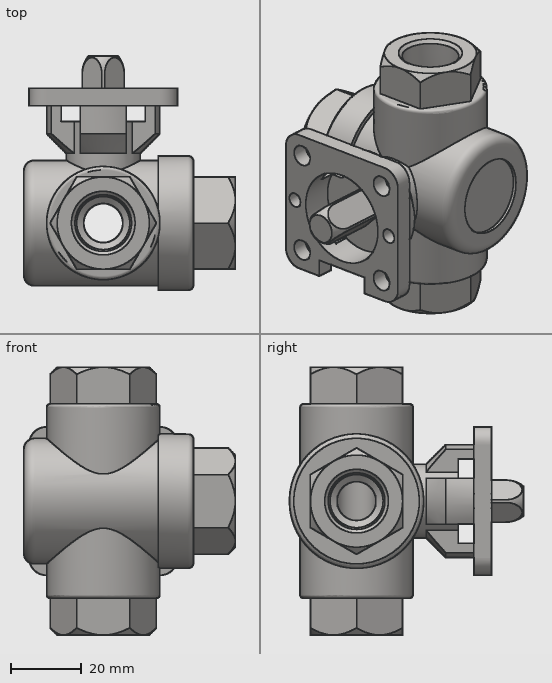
import cadquery as cq
import math


barrel_dia = 35.5
barrel_start = -22.5
barrel_round = 3.0
cap_dia = 38.0
cap_start = 15.5
cap_end = 25.5
cap_round = 1.5
recess_dia = 22.0
recess_depth = 1.0

collar_dia = 32.0
collar_end = 27.5
collar_round = 1.0
side_port_end = 37.85
main_port_end = 37.3
hex_flats = 26.05
hex_corners = hex_flats / math.cos(math.radians(30))
thread_mouth_dia = 18.0
thread_dia = 16.05
thread_end_dia = 15.0
thread_depth = 12.0
passage_dia = 11.0
drill_tip_angle = 118

neck_dia = 21.0
neck_end = 28.8
post_circle_dia = 32.0
post_width = 13.0
post_cone_start = 19.7
post_cone_end = post_cone_start + (post_circle_dia - neck_dia) / 2

flange_size = 42.0
flange_start = 33.15
flange_end = 38.15
flange_corner_radius = 5.0
flange_bore_dia = 27.0
bolt_hole_dia = 6.0
bolt_spacing = 29.75
pin_hole_dia = 4.2
pin_spacing = 35.1
notch_width = 16.8
notch_depth = 5.0

stem_dia = 11.95
stem_flats = 9.0
stem_end = 47.2
dome_height = 5.1
dome_tip_dia = 8.3


def along_x(shape):
    """Turn a shape built along +Z so that it runs along +X, keeping its Y direction."""
    return shape.rotate((0, 0, 0), (0, 1, 0), 90)


def along_y(shape):
    """Turn a shape built along +Z so that it runs along +Y, keeping its X direction."""
    return shape.rotate((0, 0, 0), (1, 0, 0), -90)


def cylinder(diameter, start, end):
    return cq.Workplane("XY").workplane(offset=start).circle(diameter / 2).extrude(end - start)


def turned(profile):
    """Revolve a (radius, height) outline about Z."""
    return cq.Workplane("XZ").polyline(profile).close().revolve(360, (0, 0, 0), (0, 1, 0))


def hex_end(end):
    """Hexagon with corners on X, its end chamfered at 45 degrees down to the flats."""
    prism = cq.Workplane("XY").polygon(6, hex_corners).extrude(end)
    corner_radius = hex_corners / 2
    face_radius = hex_flats / 2
    chamfer = corner_radius - face_radius
    envelope = turned(
        [(0, 0), (corner_radius, 0), (corner_radius, end - chamfer), (face_radius, end), (0, end)]
    )
    return prism.intersect(envelope)


def port_bore(end):
    """Chamfered taper thread hole, drill tip and passage down to the valve centre."""
    mouth = thread_mouth_dia / 2
    thread = thread_dia / 2
    bottom = thread_end_dia / 2
    passage = passage_dia / 2
    thread_start = end - (mouth - thread)
    thread_end = end - thread_depth
    tip_end = thread_end - (bottom - passage) / math.tan(math.radians(drill_tip_angle / 2))
    return turned(
        [
            (0, 0),
            (passage, 0),
            (passage, tip_end),
            (bottom, thread_end),
            (thread, thread_start),
            (mouth, end),
            (0, end),
        ]
    )


def body():
    barrel = cylinder(barrel_dia, barrel_start, cap_end).faces("<Z").edges().fillet(barrel_round)
    cap = cylinder(cap_dia, cap_start, cap_end).faces(">Z").edges().fillet(cap_round)
    recess = cylinder(recess_dia, barrel_start, barrel_start + recess_depth)
    return along_x(barrel.union(cap).cut(recess))


def side_ports():
    collars = cylinder(collar_dia, -collar_end, collar_end).faces("|Z").edges().fillet(collar_round)
    upper_hex = hex_end(side_port_end)
    return collars.union(upper_hex).union(upper_hex.mirror("XY"))


def posts():
    neck_radius = neck_dia / 2
    outer_radius = post_circle_dia / 2
    ring = turned(
        [
            (0, post_cone_start),
            (neck_radius, post_cone_start),
            (outer_radius, post_cone_end),
            (outer_radius, flange_start),
            (0, flange_start),
        ]
    )
    bar = cq.Workplane("XY").rect(post_circle_dia, post_width).extrude(flange_start)
    cross = bar.union(bar.rotate((0, 0, 0), (0, 0, 1), 90))
    return ring.intersect(cross)


def flange():
    thickness = flange_end - flange_start
    plate = cq.Workplane("XY").workplane(offset=flange_start).rect(flange_size, flange_size)
    plate = plate.extrude(thickness).edges("|Z").fillet(flange_corner_radius)
    plate = plate.faces(">Z").workplane().rect(bolt_spacing, bolt_spacing, forConstruction=True)
    plate = plate.vertices().hole(bolt_hole_dia)
    pin_places = [(-pin_spacing / 2, 0), (pin_spacing / 2, 0)]
    plate = plate.faces(">Z").workplane().pushPoints(pin_places).hole(pin_hole_dia)
    notch = cq.Workplane("XY").workplane(offset=flange_start).center(0, flange_size / 2)
    notch = notch.rect(notch_width, 2 * notch_depth).extrude(thickness)
    return plate.cut(notch)


def stem():
    radius = stem_dia / 2
    tip_radius = dome_tip_dia / 2
    dome_start = stem_end - dome_height
    dome_inset = radius - tip_radius
    dome_radius = (dome_height**2 + dome_inset**2) / (2 * dome_inset)
    half_height = dome_height / 2
    mid_radius = radius - dome_radius + math.sqrt(dome_radius**2 - half_height**2)
    blank = (
        cq.Workplane("XZ")
        .lineTo(radius, 0)
        .lineTo(radius, dome_start)
        .threePointArc((mid_radius, dome_start + half_height), (tip_radius, stem_end))
        .lineTo(0, stem_end)
        .close()
        .revolve(360, (0, 0, 0), (0, 1, 0))
    )
    square = cq.Workplane("XY").rect(stem_flats, stem_flats).extrude(stem_end)
    return blank.intersect(square.rotate((0, 0, 0), (0, 0, 1), 45))


def stem_side():
    neck = cylinder(neck_dia, 0, neck_end)
    flange_bore = cylinder(flange_bore_dia, neck_end, flange_end)
    return along_y(posts().union(flange()).cut(flange_bore).union(neck).union(stem()))


main_hex = along_x(hex_end(main_port_end))
bore = port_bore(side_port_end)

result = (
    body()
    .union(side_ports())
    .union(main_hex)
    .union(stem_side())
    .cut(bore)
    .cut(bore.mirror("XY"))
    .cut(along_x(port_bore(main_port_end)))
)